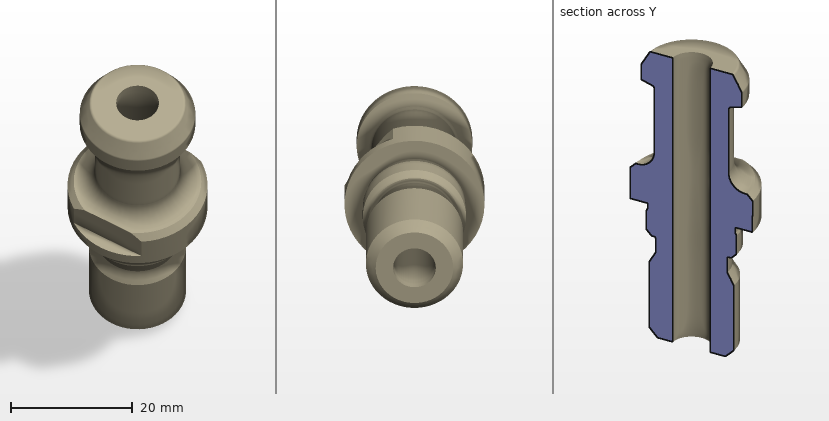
import cadquery as cq
import math

total_height = 54.0
bore_diameter = 7.0

shank_radius = 16.0 / 2
shank_chamfer = 1.6
shank_top = 14.0

relief_radius = 13.5 / 2
relief_bottom = 16.15
relief_top = 19.0
relief_fillet = 0.25

pilot_radius = 17.0 / 2
pilot_chamfer = 1.0
pilot_top = 23.6
undercut_radius = 16.5 / 2
undercut_bottom = 24.1

flange_radius = 23.0 / 2
flange_bottom = 25.0
flange_height = 7.0
flange_top = flange_bottom + flange_height
flange_chamfer = 1.0
flats_width = 19.0
flats_bottom = flange_bottom + 2.0

neck_radius = 14.05 / 2
neck_base_fillet = 3.0
neck_top_fillet = 0.5

head_radius = 19.0 / 2
head_bottom = 48.15
head_cone_bottom = 51.05
head_cone_angle = 30.0
head_underside_angle = 15.0
head_fillet = 0.5

head_cone_height = total_height - head_cone_bottom
head_top_radius = head_radius - head_cone_height * math.tan(math.radians(head_cone_angle))
underside_drop = (head_radius - neck_radius) * math.tan(math.radians(head_underside_angle))
neck_top = head_bottom - underside_drop


def turned_body():
    """Revolve the half profile, given as (radius, height) points, about Z."""
    profile = (
        cq.Workplane("XZ")
        .moveTo(0, 0)
        .lineTo(shank_radius - shank_chamfer, 0)
        .lineTo(shank_radius, shank_chamfer)
        .lineTo(shank_radius, shank_top)
        .lineTo(relief_radius, relief_bottom)
        .lineTo(relief_radius, relief_top)
        .lineTo(pilot_radius - pilot_chamfer, relief_top)
        .lineTo(pilot_radius, relief_top + pilot_chamfer)
        .lineTo(pilot_radius, pilot_top)
        .lineTo(undercut_radius, undercut_bottom)
        .lineTo(undercut_radius, flange_bottom)
        .lineTo(flange_radius, flange_bottom)
        .lineTo(flange_radius, flange_top - flange_chamfer)
        .lineTo(flange_radius - flange_chamfer, flange_top)
        .lineTo(neck_radius, flange_top)
        .lineTo(neck_radius, neck_top)
        .lineTo(head_radius, head_bottom)
        .lineTo(head_radius, head_cone_bottom)
        .lineTo(head_top_radius, total_height)
        .lineTo(0, total_height)
        .close()
    )
    return profile.revolve(360, (0, 0, 0), (0, 1, 0))


def fillet_ring(body, height, ring_radius, fillet_radius):
    """Fillet the circular edge with the given height and radius."""
    tolerance = 0.005

    def is_ring(edge):
        return (
            edge.geomType() == "CIRCLE"
            and abs(edge.Center().z - height) < tolerance
            and abs(edge.radius() - ring_radius) < tolerance
        )

    return body.newObject(body.edges().filter(is_ring).vals()).fillet(fillet_radius)


def flat_cutter(side):
    """Block that removes the flange and the neck fillet outside one flat; side is +1 or -1 along Y."""
    depth = flange_radius - flats_width / 2
    height = flange_top + neck_base_fillet - flats_bottom
    center_y = side * (flats_width + depth) / 2
    base = cq.Workplane("XY", origin=(0, center_y, flats_bottom))
    return base.box(2 * flange_radius, depth, height, centered=(True, True, False))


body = turned_body()
body = fillet_ring(body, relief_top, relief_radius, relief_fillet)
body = fillet_ring(body, flange_top, neck_radius, neck_base_fillet)
body = fillet_ring(body, neck_top, neck_radius, neck_top_fillet)
body = fillet_ring(body, head_cone_bottom, head_radius, head_fillet)
body = fillet_ring(body, total_height, head_top_radius, head_fillet)

for side in (-1, 1):
    body = body.cut(flat_cutter(side))

bore = cq.Workplane("XY").circle(bore_diameter / 2).extrude(total_height)
result = body.cut(bore)